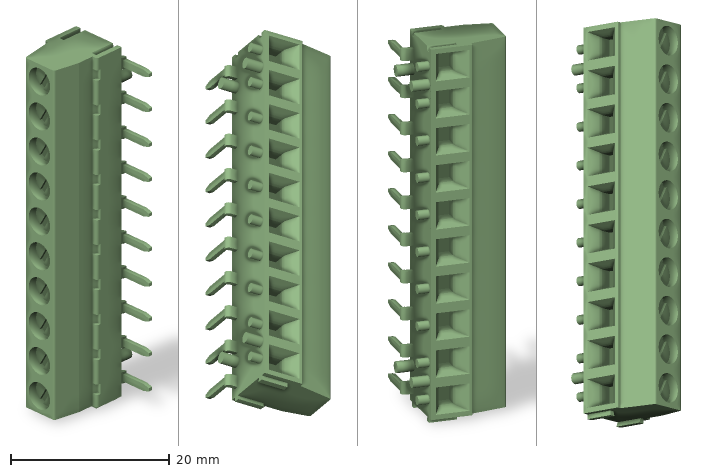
import cadquery as cq
import math

cell_count = 10
body_length = 50.0
pitch = body_length / cell_count
cell_heights = [pitch * (i + 0.5) for i in range(cell_count)]

body_width = 8.1
body_depth = 10.65
entry_step_x = 0.55
entry_step_y = 5.0
ledge_x = 7.3
ledge_y = 6.2
taper_start_y = 3.8
flank_angle = 10
flank_slope = math.tan(math.radians(flank_angle))
screw_face_left = entry_step_x + entry_step_y * flank_slope
screw_face_right = ledge_x - taper_start_y * flank_slope
screw_face_fillet = 0.3
entry_step_fillet = 0.15
ledge_fillet = 0.35

screw_x = 4.0
screw_diameter = 3.8
screw_recess = 1.3
screw_slot_width = 0.75
screw_slot_depth = 0.4
screw_slot_tilt = 30

funnel_mouth = (5.45, 9.95)
funnel_throat = (6.9, 9.15)
funnel_mouth_height = 3.7
funnel_throat_height = 2.75
funnel_depth = 1.35
collar_depth = 0.4
chamber = (7.05, 9.05)
chamber_height = 2.55
chamber_depth = 1.5

notch_height = 1.45
notch_depth = 0.6
notch_inner_x = ledge_x
notch_floor_x = 7.6

rail_height = 0.6
rail_start_y = 6.85
rail_outer_offset = 0.75
rail_narrow = 0.6
rail_wide = 0.8

post_tip_y = 12.15
peg_tip_y = 12.9
solder_post_diameter = 1.2
entry_peg_diameter = 1.4
pin_peg_diameter = 1.5
entry_row_x = 1.0
pin_row_x = 7.0
peg_heights = [pitch, body_length - pitch]
pin_thickness = 0.6
pin_leg_x = 6.75
pin_leg_height = 1.6
pin_drop = 0.45
pin_shoulder_x = 7.45
pin_arm_height = 1.0
pin_tip_x = 12.05
pin_tip_length = 0.95
pin_tip_height = 0.45


def housing():
    outline = [
        (screw_face_left, 0),
        (screw_face_right, 0),
        (ledge_x, taper_start_y),
        (ledge_x, ledge_y),
        (body_width, ledge_y),
        (body_width, body_depth),
        (0, body_depth),
        (0, entry_step_y),
        (entry_step_x, entry_step_y),
    ]
    body = cq.Workplane("XY").polyline(outline).close().extrude(body_length)
    rounded_edges = [
        ((screw_face_left, 0), screw_face_fillet),
        ((screw_face_right, 0), screw_face_fillet),
        ((body_width, ledge_y), ledge_fillet),
        ((0, entry_step_y), entry_step_fillet),
    ]
    for (x, y), radius in rounded_edges:
        edge = cq.selectors.NearestToPointSelector((x, y, body_length / 2))
        body = body.edges("|Z").edges(edge).fillet(radius)
    return body


def screw_recess_cut(z):
    face = cq.Workplane("XZ", origin=(screw_x, 0, z))
    bore = face.circle(screw_diameter / 2).extrude(-screw_recess)
    slot_bottom = screw_recess + screw_slot_depth
    slot = (
        face.transformed(rotate=(0, 0, -screw_slot_tilt))
        .rect(screw_slot_width, screw_diameter)
        .extrude(-slot_bottom)
    )
    head = face.circle(screw_diameter / 2).extrude(-slot_bottom)
    return bore.union(slot.intersect(head))


def tapered_cut(start_x, depth, z, start_span, start_height, end_span, end_height):
    """Rectangular funnel along +X; the spans are its (front, back) limits in Y."""
    start_y = sum(start_span) / 2
    end_y = sum(end_span) / 2
    return (
        cq.Workplane("YZ", origin=(start_x, start_y, z))
        .rect(start_span[1] - start_span[0], start_height)
        .workplane(offset=depth)
        .center(end_y - start_y, 0)
        .rect(end_span[1] - end_span[0], end_height)
        .loft(ruled=True)
    )


def wire_entry_cut(z):
    funnel = tapered_cut(
        0, funnel_depth, z,
        funnel_mouth, funnel_mouth_height, funnel_throat, funnel_throat_height,
    )
    collar = tapered_cut(
        funnel_depth, collar_depth, z,
        funnel_throat, funnel_throat_height, chamber, chamber_height,
    )
    straight_part = tapered_cut(
        funnel_depth + collar_depth, chamber_depth, z,
        chamber, chamber_height, chamber, chamber_height,
    )
    return funnel.union(collar).union(straight_part)


def ledge_notch_cut(z):
    profile = [
        (notch_inner_x, ledge_y),
        (body_width, ledge_y),
        (body_width, ledge_y + notch_depth),
        (notch_floor_x, ledge_y + notch_depth),
    ]
    bottom = z - notch_height / 2
    return cq.Workplane("XY").workplane(offset=bottom).polyline(profile).close().extrude(notch_height)


def rails(top_z, top_width, bottom_width):
    """Pair of rails hanging below top_z, upright outside and slanted on their facing sides."""
    pair = cq.Workplane("XY")
    for outer_x, inward in ((rail_outer_offset, 1), (body_width - rail_outer_offset, -1)):
        profile = [
            (outer_x, top_z),
            (outer_x + inward * top_width, top_z),
            (outer_x + inward * bottom_width, top_z - rail_height),
            (outer_x, top_z - rail_height),
        ]
        rail = (
            cq.Workplane("XZ", origin=(0, body_depth, 0))
            .polyline(profile).close()
            .extrude(body_depth - rail_start_y)
        )
        pair = pair.add(rail)
    return pair.combine()


def round_post(x, z, diameter, tip_y):
    return cq.Workplane("XZ", origin=(x, body_depth, z)).circle(diameter / 2).extrude(body_depth - tip_y)


def bent_pin(z):
    """Flat pin that rises from the solder face and bends toward +X, then narrows to a tapered tip."""
    leg_back_x = pin_leg_x + pin_thickness
    bend_y = post_tip_y - pin_thickness
    leg = (
        cq.Workplane("XY", origin=(0, 0, z - pin_leg_height / 2))
        .moveTo(pin_leg_x, body_depth)
        .lineTo(leg_back_x, body_depth)
        .lineTo(leg_back_x, bend_y)
        .lineTo(pin_shoulder_x, bend_y)
        .lineTo(pin_shoulder_x, post_tip_y)
        .lineTo(leg_back_x, post_tip_y)
        .radiusArc((pin_leg_x, bend_y), -pin_thickness)
        .close()
        .extrude(pin_leg_height)
    )
    taper_x = pin_tip_x - pin_tip_length
    half_arm = pin_arm_height / 2
    half_tip = pin_tip_height / 2
    arm_outline = [
        (pin_shoulder_x, z - half_arm),
        (taper_x, z - half_arm),
        (pin_tip_x, z - half_tip),
        (pin_tip_x, z + half_tip),
        (taper_x, z + half_arm),
        (pin_shoulder_x, z + half_arm),
    ]
    arm = (
        cq.Workplane("XZ", origin=(0, post_tip_y, 0))
        .polyline(arm_outline).close()
        .extrude(pin_thickness)
    )
    return leg.union(arm)


result = housing()
for cell_z in cell_heights:
    result = result.cut(screw_recess_cut(cell_z))
    result = result.cut(wire_entry_cut(cell_z))
    result = result.cut(ledge_notch_cut(cell_z))
result = result.cut(rails(body_length, rail_wide, rail_narrow))
result = result.union(rails(0, rail_narrow, rail_wide))
for cell_z in cell_heights:
    result = result.union(round_post(entry_row_x, cell_z, solder_post_diameter, post_tip_y))
    result = result.union(bent_pin(cell_z - pin_drop))
for peg_z in peg_heights:
    result = result.union(round_post(entry_row_x, peg_z, entry_peg_diameter, peg_tip_y))
    result = result.union(round_post(pin_row_x, peg_z, pin_peg_diameter, peg_tip_y))